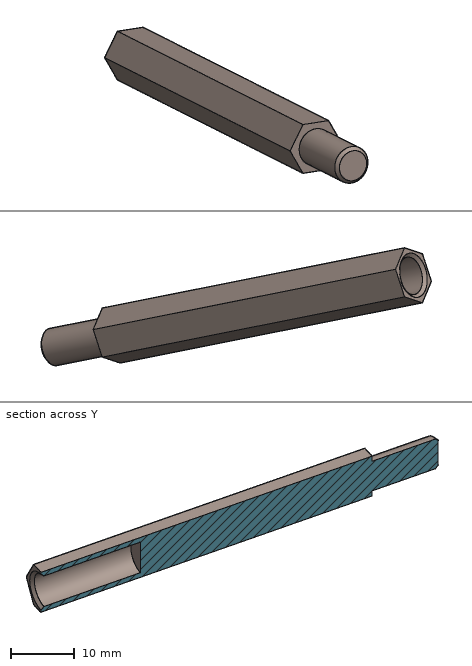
import cadquery as cq
import math

total_length = 72.0
stud_length = 12.0
hex_length = total_length - stud_length
across_flats = 8.0
across_corners = across_flats / math.cos(math.radians(30))
stud_diameter = 6.0
edge_chamfer = 0.54
bore_diameter = stud_diameter
bore_depth = 18.0
mouth_diameter = bore_diameter + 2 * edge_chamfer


def make_hex_body():
    """Hexagonal bar with flats facing +Z and -Z."""
    return cq.Workplane("YZ").polygon(6, across_corners).extrude(hex_length)


def make_stud():
    """Round stud with a chamfered tip."""
    stud = cq.Workplane("YZ", origin=(hex_length, 0, 0)).circle(stud_diameter / 2).extrude(stud_length)
    return stud.faces(">X").chamfer(edge_chamfer)


def make_bore():
    """Blind flat-bottomed bore with a conical mouth at the -X end, revolved about X."""
    profile = (
        cq.Workplane("XY")
        .lineTo(0, mouth_diameter / 2)
        .lineTo(edge_chamfer, bore_diameter / 2)
        .lineTo(bore_depth, bore_diameter / 2)
        .lineTo(bore_depth, 0)
        .close()
    )
    return profile.revolve(360, (0, 0, 0), (1, 0, 0))


result = make_hex_body().union(make_stud()).cut(make_bore())